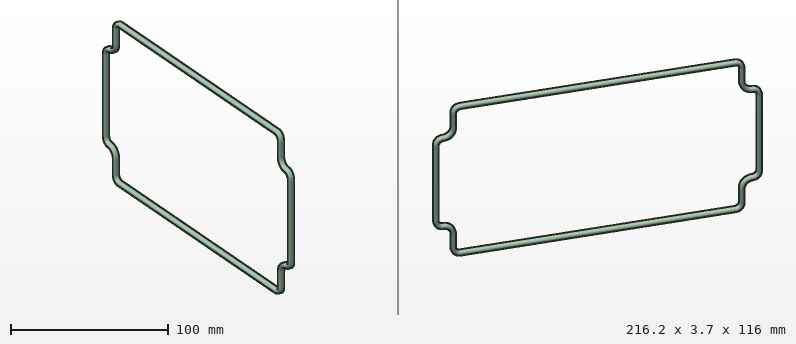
import cadquery as cq
import math

length = 216.2
height = 116.0
depth = 3.7
bar_width = 3.2
corner_radius = 4.5
notch_radius = 7.0
front_rounding = 1.5
shoulder_height = 34.0

half_width = bar_width / 2
side_x = length / 2 - half_width
top_z = height / 2 - half_width
join_x = side_x - corner_radius
neck_x = join_x - notch_radius
neck_z = shoulder_height + notch_radius
top_end_x = neck_x - corner_radius
top_bend_z = top_z - corner_radius
side_end_z = shoulder_height - corner_radius
front_y = -depth / 2
back_y = depth / 2
round_y = front_y + front_rounding
flat_half = half_width - front_rounding
diagonal = math.sqrt(0.5)


def bend_middle(center_x, center_z, radius, toward_x, toward_z):
    """Midpoint of a quarter bend, from its centre and diagonal direction."""
    reach = radius * diagonal
    return (center_x + toward_x * reach, center_z + toward_z * reach)


corner_bends = [
    (bend_middle(join_x, side_end_z, corner_radius, 1, 1), (join_x, shoulder_height)),
    (bend_middle(join_x, neck_z, notch_radius, -1, -1), (neck_x, neck_z)),
    (bend_middle(top_end_x, top_bend_z, corner_radius, 1, 1), (top_end_x, top_z)),
]
corner_starts = [(side_x, side_end_z), (join_x, shoulder_height), (neck_x, top_bend_z)]


def vector(point, sign_x, sign_z):
    """Point of the upper right corner, mirrored into the chosen quadrant of the XZ plane."""
    return cq.Vector(sign_x * point[0], 0, sign_z * point[1])


def corner_edges(sign_x, sign_z):
    """Three bends and the short neck of one notched corner."""
    edges = []
    for start, (middle, end) in zip(corner_starts, corner_bends):
        points = [vector(p, sign_x, sign_z) for p in (start, middle, end)]
        edges.append(cq.Edge.makeThreePointArc(*points))
    neck = [vector(p, sign_x, sign_z) for p in ((neck_x, neck_z), (neck_x, top_bend_z))]
    edges.append(cq.Edge.makeLine(*neck))
    return edges


def centreline():
    """Closed loop through the middle of the bar."""
    edges = []
    for sign_x in (1, -1):
        for sign_z in (1, -1):
            edges += corner_edges(sign_x, sign_z)
    for sign in (1, -1):
        side = (vector((side_x, side_end_z), sign, z) for z in (1, -1))
        edges.append(cq.Edge.makeLine(*side))
        top = (vector((top_end_x, top_z), x, sign) for x in (1, -1))
        edges.append(cq.Edge.makeLine(*top))
    return cq.Wire.combine(edges)[0]


arc_x = flat_half + front_rounding * diagonal
arc_y = round_y - front_rounding * diagonal
section = (
    cq.Workplane("XY", origin=(side_x, 0, 0))
    .moveTo(-half_width, back_y)
    .lineTo(half_width, back_y)
    .lineTo(half_width, round_y)
    .threePointArc((arc_x, arc_y), (flat_half, front_y))
    .lineTo(-flat_half, front_y)
    .threePointArc((-arc_x, arc_y), (-half_width, round_y))
    .close()
)
result = section.sweep(cq.Workplane(centreline()))